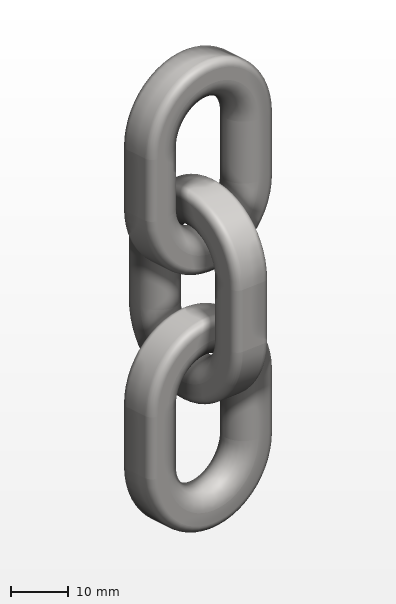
import cadquery as cq

chain_length = 91.0
link_count = 3
link_width = 29.0
opening_width = 13.0
straight_length = 12.0
outer_edge_radius = 1.55

bar_size = (link_width - opening_width) / 2
inner_edge_radius = bar_size / 2
link_length = straight_length + link_width
link_pitch = (chain_length - link_length) / (link_count - 1)


def bar_section():
    """Bar cross-section in the XY plane: D-shaped inside, lightly rounded outside."""
    half_thickness = bar_size / 2
    inner_x = opening_width / 2
    outer_x = link_width / 2
    round_start_x = inner_x + inner_edge_radius
    return (
        cq.Sketch()
        .segment((round_start_x, -half_thickness), (outer_x, -half_thickness))
        .segment((outer_x, half_thickness))
        .segment((round_start_x, half_thickness))
        .arc((round_start_x, half_thickness), (inner_x, 0), (round_start_x, -half_thickness))
        .assemble()
        .vertices(">X")
        .fillet(outer_edge_radius)
        .reset()
    )


def upright_link():
    """One closed link centred on the origin, long along Z and flat in the XZ plane."""
    half_straight = straight_length / 2
    section = bar_section()
    right_side = (
        cq.Workplane("XY", origin=(0, 0, -half_straight))
        .placeSketch(section)
        .extrude(straight_length)
    )
    top_end = (
        cq.Workplane("XY", origin=(0, 0, half_straight))
        .placeSketch(section)
        .revolve(180, (0, 0, 0), (0, -1, 0))
    )
    left_side = right_side.mirror("YZ")
    bottom_end = top_end.mirror("XY")
    return right_side.union(top_end).union(left_side).union(bottom_end)


links = []
for index in range(link_count):
    link_height = (index - (link_count - 1) / 2) * link_pitch
    quarter_turn = 90 if index % 2 == 0 else 0
    link = upright_link().rotate((0, 0, 0), (0, 0, 1), quarter_turn)
    links.append(link.translate((0, 0, link_height)))

result = cq.Compound.makeCompound([link.val() for link in links])